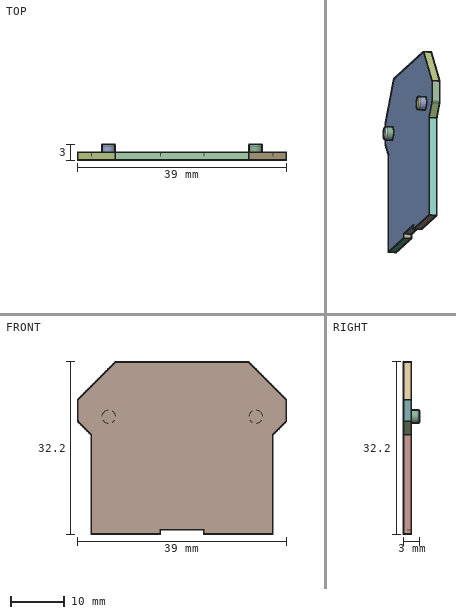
import cadquery as cq

plate_thickness = 1.5
plate_height = 32.2
shoulder_width = 39.0
body_width = 34.0
top_chamfer = 7.06
shoulder_drop = 11.1
shoulder_edge_radius = 0.5

notch_width = 8.1
notch_depth = 0.8

pin_diameter = 2.5
pin_length = 1.5
pin_spacing = 27.5
pin_drop = 10.2
pin_edge_radius = 0.3

half_shoulder = shoulder_width / 2
half_body = body_width / 2
half_top = half_shoulder - top_chamfer
shoulder_top_z = plate_height - top_chamfer
shoulder_bottom_z = plate_height - shoulder_drop
body_top_z = shoulder_bottom_z - (half_shoulder - half_body)
pin_z = plate_height - pin_drop


def extrude_toward_back(sketch, depth):
    """Extrude an XZ sketch toward +Y (the XZ workplane normal is -Y)."""
    return sketch.extrude(-depth)


def make_plate():
    right_outline = [
        (half_body, 0),
        (half_body, body_top_z),
        (half_shoulder, shoulder_bottom_z),
        (half_shoulder, shoulder_top_z),
        (half_top, plate_height),
    ]
    left_outline = [(-x, z) for x, z in reversed(right_outline)]
    outline = cq.Workplane("XZ").polyline(right_outline + left_outline).close()
    plate = extrude_toward_back(outline, plate_thickness)

    corner = cq.selectors.NearestToPointSelector(
        (-half_shoulder, plate_thickness / 2, shoulder_bottom_z)
    )
    return plate.edges(corner).fillet(shoulder_edge_radius)


def make_notch():
    outline = cq.Workplane("XZ").rect(notch_width, 2 * notch_depth)
    return extrude_toward_back(outline, plate_thickness)


def make_pin(x):
    outline = (
        cq.Workplane("XZ", origin=(x, plate_thickness, pin_z))
        .circle(pin_diameter / 2)
    )
    pin = extrude_toward_back(outline, pin_length)
    return pin.faces(">Y").edges().fillet(pin_edge_radius)


result = make_plate().cut(make_notch())
for pin_x in (-pin_spacing / 2, pin_spacing / 2):
    result = result.union(make_pin(pin_x))